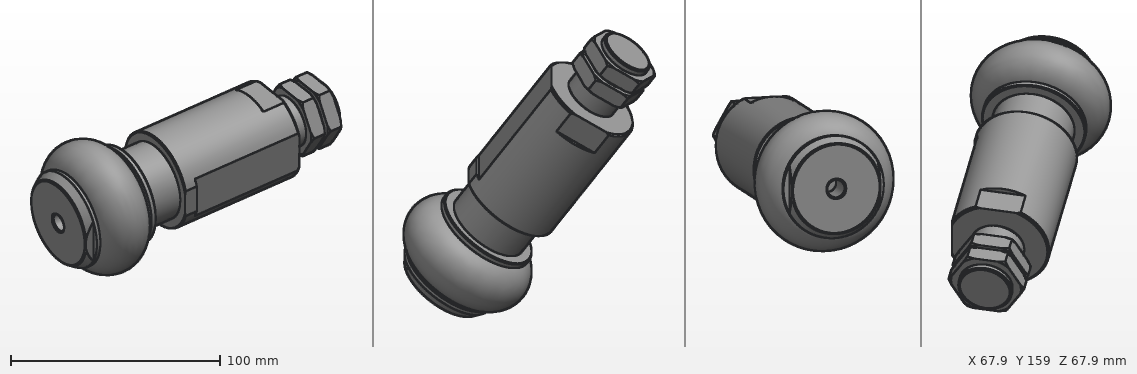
import cadquery as cq
import math

LENGTH = 159.0

CAP_DIA = 49.8
CAP_EDGE_DIA = 44.2
CAP_FACE_DIA = 43.0
CAP_EDGE_BREAK = 0.5
CAP_FLAT_X = 22.0
CAP_CONE_LENGTH = 4.8
CAP_RIM_LENGTH = 2.0
COLLAR_DIA = 50.5
COLLAR_CHAMFER = 0.5
COLLAR_LENGTH = 2.9
NECK_DIA = 40.0
NECK_LENGTH = 18.1
STEM_DIA = 26.0
STEM_CORE_DIA = 24.3
STEM_BEVEL_LENGTH = 0.5
HOLE_DIA = 8.6
HOLE_MOUTH_DIA = 9.9
HOLE_DEPTH = 15.9

ROLLER_DIA = 67.9
ROLLER_SEAT_DIA = 33.0
ROLLER_WIDTH = 30.2

SLEEVE_DIA = 50.0
SLEEVE_LENGTH = 69.2
SLEEVE_REAR_CHAMFER = 0.8
SLEEVE_FRONT_CHAMFER = 0.5
FLAT_OFFSET = 22.4
WRENCH_FLAT_LENGTH = 12.9
SIDE_LIP_OFFSET = 23.8
SIDE_LIP_LENGTH = 7.0

NUT_ACROSS_FLATS = 32.0
NUT_THICKNESS = 8.0
NUT_FACE_DIA = 34.0
NUT_CHAMFER_ANGLE = 30.0
NUT_END_GAPS = (3.0, 12.9)

CAP_REAR = CAP_CONE_LENGTH + CAP_RIM_LENGTH
COLLAR_FRONT = CAP_REAR + ROLLER_WIDTH
COLLAR_REAR = COLLAR_FRONT + COLLAR_LENGTH
SLEEVE_FRONT = COLLAR_REAR + NECK_LENGTH
SLEEVE_REAR = SLEEVE_FRONT + SLEEVE_LENGTH

CUT_SIZE = 95.4


def cylinder(diameter, y_start, y_end):
    plane = cq.Workplane("XZ", origin=(0, y_start, 0))
    return plane.circle(diameter / 2).extrude(y_start - y_end)


def revolve_y(outline):
    return outline.close().revolve(360, (0, 0, 0), (0, 1, 0))


def beyond_flat(direction, offset, y_start, y_end):
    """Block holding everything past a flat at the given offset along a unit X/Z direction."""
    length = y_end - y_start
    reach = offset + CUT_SIZE / 2
    block = cq.Workplane("XY").box(CUT_SIZE, length, CUT_SIZE)
    return block.translate((direction[0] * reach, y_start + length / 2, direction[1] * reach))


def make_spindle():
    stem_r = STEM_DIA / 2
    core_r = STEM_CORE_DIA / 2
    outline = (
        cq.Workplane("XY")
        .lineTo(CAP_FACE_DIA / 2, 0)
        .lineTo(CAP_EDGE_DIA / 2, CAP_EDGE_BREAK)
        .lineTo(CAP_DIA / 2, CAP_CONE_LENGTH)
        .lineTo(CAP_DIA / 2, CAP_REAR)
        .lineTo(ROLLER_SEAT_DIA / 2, CAP_REAR)
        .lineTo(ROLLER_SEAT_DIA / 2, COLLAR_FRONT)
        .lineTo(COLLAR_DIA / 2, COLLAR_FRONT)
        .lineTo(COLLAR_DIA / 2, COLLAR_REAR - COLLAR_CHAMFER)
        .lineTo(COLLAR_DIA / 2 - COLLAR_CHAMFER, COLLAR_REAR)
        .lineTo(NECK_DIA / 2, COLLAR_REAR)
        .lineTo(NECK_DIA / 2, SLEEVE_FRONT)
        .lineTo(core_r, SLEEVE_FRONT)
        .lineTo(core_r, SLEEVE_REAR)
        .lineTo(stem_r, SLEEVE_REAR + STEM_BEVEL_LENGTH)
        .lineTo(stem_r, LENGTH - STEM_BEVEL_LENGTH)
        .lineTo(core_r, LENGTH)
        .lineTo(0, LENGTH)
    )
    spindle = revolve_y(outline)

    for side in (-1, 1):
        spindle = spindle.cut(beyond_flat((side, 0), CAP_FLAT_X, 0, CAP_CONE_LENGTH))

    mouth_depth = (HOLE_MOUTH_DIA - HOLE_DIA) / 2
    hole = (
        cq.Workplane("XY")
        .lineTo(HOLE_MOUTH_DIA / 2, 0)
        .lineTo(HOLE_DIA / 2, mouth_depth)
        .lineTo(HOLE_DIA / 2, HOLE_DEPTH)
        .lineTo(0, HOLE_DEPTH)
    )
    return spindle.cut(revolve_y(hole))


def make_roller():
    """Tyre with a half-circle rim as wide as the roller, bored to fit the roller seat."""
    rim_r = ROLLER_WIDTH / 2
    rim_centre_x = ROLLER_DIA / 2 - rim_r
    outline = (
        cq.Workplane("XY")
        .moveTo(0, CAP_REAR)
        .lineTo(rim_centre_x, CAP_REAR)
        .threePointArc((ROLLER_DIA / 2, CAP_REAR + rim_r), (rim_centre_x, COLLAR_FRONT))
        .lineTo(0, COLLAR_FRONT)
    )
    return revolve_y(outline).cut(cylinder(ROLLER_SEAT_DIA, CAP_REAR, COLLAR_FRONT))


def make_sleeve():
    sleeve = cylinder(SLEEVE_DIA, SLEEVE_FRONT, SLEEVE_REAR)
    sleeve = sleeve.faces(">Y").chamfer(SLEEVE_REAR_CHAMFER)
    sleeve = sleeve.faces("<Y").chamfer(SLEEVE_FRONT_CHAMFER)

    for side in (-1, 1):
        flat_front = SLEEVE_REAR - WRENCH_FLAT_LENGTH
        sleeve = sleeve.cut(beyond_flat((0, side), FLAT_OFFSET, flat_front, SLEEVE_REAR))

    lip_rear = SLEEVE_FRONT + SIDE_LIP_LENGTH
    sleeve = sleeve.cut(beyond_flat((1, 0), FLAT_OFFSET, lip_rear, SLEEVE_REAR))
    sleeve = sleeve.cut(beyond_flat((1, 0), SIDE_LIP_OFFSET, SLEEVE_FRONT, lip_rear))

    return sleeve.cut(cylinder(STEM_CORE_DIA, SLEEVE_FRONT, SLEEVE_REAR))


def make_nut(y_rear):
    """Hexagon nut with flats facing up and down and the corners turned off at both ends."""
    y_front = y_rear - NUT_THICKNESS
    corner_r = NUT_ACROSS_FLATS / math.sqrt(3)
    face_r = NUT_FACE_DIA / 2
    bevel = (corner_r - face_r) * math.tan(math.radians(NUT_CHAMFER_ANGLE))

    hexagon = cq.Workplane("XZ", origin=(0, y_front, 0)).polygon(6, 2 * corner_r)
    nut = hexagon.extrude(-NUT_THICKNESS)
    turned = (
        cq.Workplane("XY")
        .moveTo(0, y_front)
        .lineTo(face_r, y_front)
        .lineTo(corner_r, y_front + bevel)
        .lineTo(corner_r, y_rear - bevel)
        .lineTo(face_r, y_rear)
        .lineTo(0, y_rear)
    )
    return nut.intersect(revolve_y(turned)).cut(cylinder(STEM_DIA, y_front, y_rear))


spindle = make_spindle()
roller = make_roller()
sleeve = make_sleeve()
nuts = [make_nut(LENGTH - gap) for gap in NUT_END_GAPS]

result = cq.Compound.makeCompound(
    [spindle.val(), roller.val(), sleeve.val(), *[nut.val() for nut in nuts]]
)